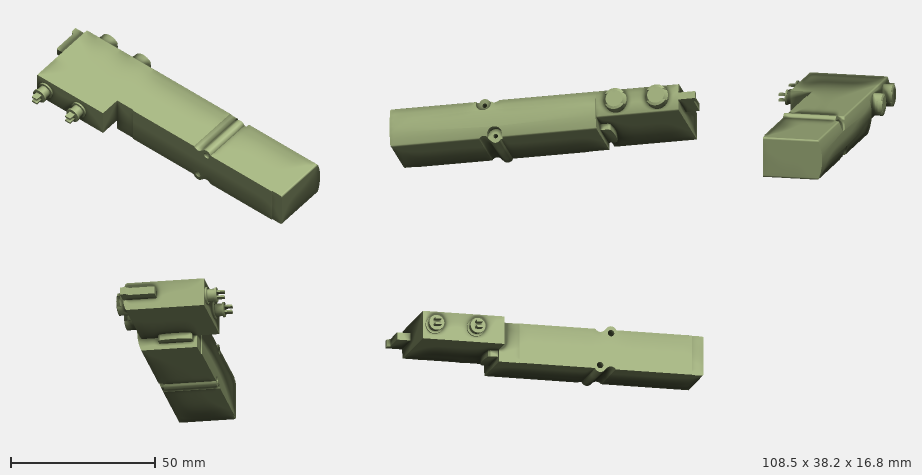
import cadquery as cq
import math


body_left = 35.3
body_right = 108.5
body_height = 14.1
body_back = 21.5
back_shoulder = 20.1
edge_radius = 0.7
front_step = 0.3
panel_left = 42.5
panel_right = 104.3

block_left = 6.0
block_front = -7.5
block_back = 21.0
block_height = 9.9
block_middle = (body_height - block_height) / 2
block_bottom = block_middle - block_height / 2

ridge_x = 75.3
groove_x = 71.4
ridge_top = 8.4
curve_radius = 2.0
groove_depth = 1.0
screw_z = 5.9
screw_diameter = 2.3
screw_depth = 16.3
throat_diameter = 1.6
counterbore_diameter = 5.3
counterbore_floor = 18.7

tab_thickness = 2.6
tab_front = 9.1
tab_stem_left = 1.1
tab_hook_depth = 2.0
tab_chamfer = 0.3

latch_left = 31.4
latch_front = 1.6
latch_back = 13.7
latch_bottom = -5.0
latch_corner = 0.7
latch_bulge = 0.5

connector_x = 10.0
station_pitch = 14.8
station_count = 2
button_offset = 3.3
flange_diameter = 6.1
flange_end = -8.1
neck_diameter = 4.5
collar_diameter = 5.3
collar_start = -10.7
collar_end = -11.4
prong_width = 2.3
prong_thickness = 0.7
prong_gap = 1.3
prong_end = -14.0
button_radius = 3.9
button_top = 24.2
button_top_radius = 3.0
button_chamfer = 0.3
ear_radius = 8.1 / 2
ear_bottom = 21.8
ear_shoulder = 22.8
ear_width = 3.9


def arched_prism(left, right, front, back, height):
    """Prism along X with an arched back face and rounded edges beside it."""
    half = height / 2
    prism = (
        cq.Workplane("YZ")
        .moveTo(front, -half)
        .lineTo(back_shoulder, -half)
        .threePointArc((back, 0), (back_shoulder, half))
        .lineTo(front, half)
        .close()
        .extrude(right - left)
    )
    prism = prism.translate((left, 0, 0))
    return prism.edges("|X and (not <Y)").fillet(edge_radius)


def box(x_range, y_range, z_range):
    """Box spanning the given (low, high) ranges."""
    sizes = [high - low for low, high in (x_range, y_range, z_range)]
    corner = (x_range[0], y_range[0], z_range[0])
    return cq.Workplane("XY").box(*sizes, centered=False).translate(corner)


def y_cylinder(diameter, x, z, start, end):
    """Cylinder parallel to Y between two Y positions."""
    low = min(start, end)
    disc = cq.Workplane("XZ").circle(diameter / 2).extrude(-abs(end - start))
    return disc.translate((x, low, z))


def make_body():
    body = arched_prism(body_left, body_right, 0, body_back, body_height)
    half_z = (-body_height / 2, body_height / 2)
    end_rounding = box((body_left, body_right), (0, body_back), half_z)
    body = body.intersect(end_rounding.faces(">X").edges("|Y").fillet(edge_radius))
    for x_range in ((body_left, panel_left), (panel_right, body_right)):
        body = body.cut(box(x_range, (0, front_step), half_z))
    return body


def make_block():
    block = arched_prism(block_left, body_left, block_front, block_back, block_height)
    return block.translate((0, 0, block_middle))


def make_ridge_and_groove():
    """Upper ridge and the cutter for the upper groove, joined by a flank tangent to both arcs."""
    top = body_height / 2
    ridge_center_z = ridge_top - curve_radius
    groove_center_z = top - groove_depth + curve_radius

    span_x = ridge_x - groove_x
    drop_z = groove_center_z - ridge_center_z
    flank_angle = math.atan2(span_x, drop_z) - math.acos(2 * curve_radius / math.hypot(span_x, drop_z))
    offset_x = curve_radius * math.sin(flank_angle)
    offset_z = curve_radius * math.cos(flank_angle)
    ridge_shoulder = (ridge_x - offset_x, ridge_center_z + offset_z)
    groove_shoulder = (groove_x + offset_x, groove_center_z - offset_z)
    flank_top_x = ridge_shoulder[0] - (ridge_shoulder[1] - top) / math.tan(flank_angle)

    ridge_half = math.sqrt(curve_radius**2 - (top - ridge_center_z) ** 2)
    ridge = (
        cq.Workplane("XZ")
        .moveTo(flank_top_x, top)
        .lineTo(*ridge_shoulder)
        .threePointArc((ridge_x, ridge_top), (ridge_x + ridge_half, top))
        .lineTo(ridge_x, screw_z)
        .close()
        .extrude(-counterbore_floor)
    )
    groove_half = math.sqrt(curve_radius**2 - (groove_center_z - top) ** 2)
    groove = (
        cq.Workplane("XZ")
        .moveTo(groove_x - groove_half, top)
        .threePointArc((groove_x, top - groove_depth), groove_shoulder)
        .lineTo(flank_top_x, top)
        .close()
        .extrude(-body_back)
    )
    return ridge, groove


def add_mounting(body):
    """Add the upper ridge, groove and stepped screw hole, then copies turned half a turn about Y."""
    middle_x = (ridge_x + groove_x) / 2
    ridge, groove = make_ridge_and_groove()
    throat = y_cylinder(throat_diameter, ridge_x, screw_z, 0, body_back)
    hole = y_cylinder(screw_diameter, ridge_x, screw_z, 0, screw_depth)
    counterbore = y_cylinder(counterbore_diameter, ridge_x, screw_z, counterbore_floor, body_back)
    opening = box(
        (ridge_x - counterbore_diameter / 2, ridge_x + counterbore_diameter / 2),
        (counterbore_floor, body_back),
        (screw_z, body_height / 2),
    )
    for angle in (0, 180):
        axis = ((middle_x, 0, 0), (middle_x, 1, 0))
        body = body.union(ridge.rotate(*axis, angle))
        for cutter in (groove, throat, hole, counterbore, opening):
            body = body.cut(cutter.rotate(*axis, angle))
    return body


def make_tab():
    knee = block_back - tab_hook_depth
    outline = [
        (block_left, block_back),
        (0, block_back),
        (0, knee),
        (tab_stem_left, knee - tab_stem_left),
        (tab_stem_left, tab_front + tab_chamfer),
        (tab_stem_left + tab_chamfer, tab_front),
        (block_left, tab_front),
    ]
    tab = cq.Workplane("XY").polyline(outline).close().extrude(tab_thickness)
    return tab.translate((0, 0, block_middle - tab_thickness / 2))


def make_latch():
    shoulder = latch_left + latch_bulge
    latch = (
        cq.Workplane("XY")
        .moveTo(body_left, latch_front)
        .lineTo(shoulder + latch_corner, latch_front)
        .lineTo(shoulder, latch_front + latch_corner)
        .threePointArc(
            (latch_left, (latch_front + latch_back) / 2),
            (shoulder, latch_back - latch_corner),
        )
        .lineTo(shoulder + latch_corner, latch_back)
        .lineTo(body_left, latch_back)
        .close()
        .extrude(block_bottom - latch_bottom)
    )
    return latch.translate((0, 0, latch_bottom))


def make_connector(x):
    """Flanged plug with two flat prongs on the front of the block."""
    connector = y_cylinder(flange_diameter, x, block_middle, block_front, flange_end)
    connector = connector.union(y_cylinder(neck_diameter, x, block_middle, block_front, collar_start))
    connector = connector.union(y_cylinder(collar_diameter, x, block_middle, collar_start, collar_end))
    x_range = (x - prong_width / 2, x + prong_width / 2)
    for low in (prong_gap / 2, -prong_gap / 2 - prong_thickness):
        z_low = block_middle + low
        prong = box(x_range, (prong_end, collar_end), (z_low, z_low + prong_thickness))
        connector = connector.union(prong)
    return connector


def make_button(x):
    """Round button with two tapered ears on its left and right sides."""
    base = back_shoulder
    rim = button_top - button_chamfer
    round_outline = [
        (0, base),
        (button_radius, base),
        (button_radius, rim),
        (button_top_radius, button_top),
        (0, button_top),
    ]
    ear_outline = [
        (0, base),
        (button_radius, base),
        (button_radius, ear_bottom),
        (ear_radius, ear_bottom),
        (ear_radius, ear_shoulder),
        (button_top_radius, button_top),
        (0, button_top),
    ]

    def turned(outline):
        return cq.Workplane("XY").polyline(outline).close().revolve(360, (0, 0, 0), (0, 1, 0))

    ear_band = box((-ear_radius, ear_radius), (base, button_top), (-ear_width / 2, ear_width / 2))
    button = turned(round_outline).cut(ear_band)
    button = button.union(turned(ear_outline).intersect(ear_band))
    return button.translate((x, 0, block_middle))


result = add_mounting(make_body())
result = result.union(make_block()).union(make_tab()).union(make_latch())
for station in range(station_count):
    station_x = connector_x + station * station_pitch
    result = result.union(make_connector(station_x))
    result = result.union(make_button(station_x + button_offset))